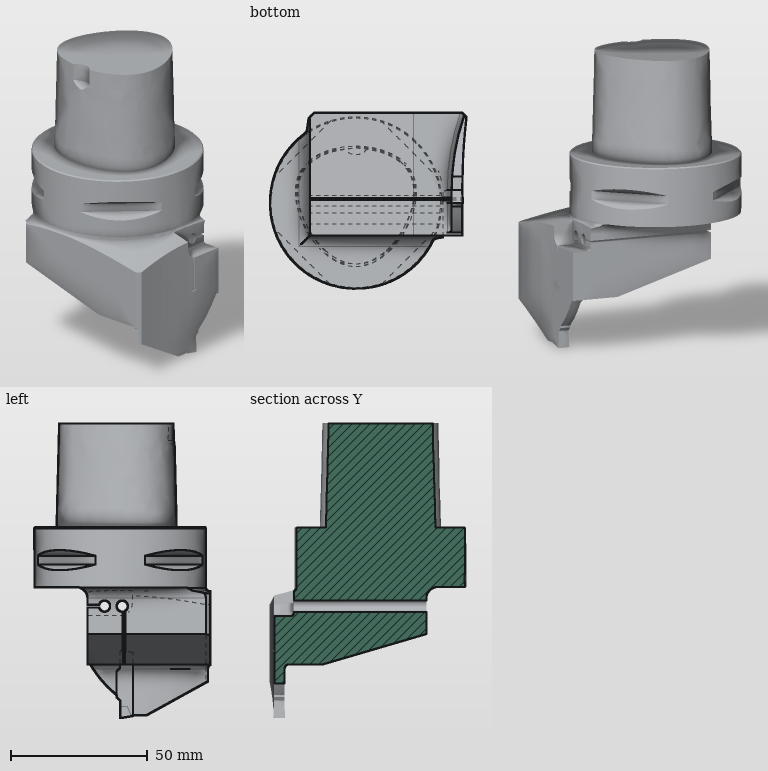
import cadquery as cq
import math


flange_diameter = 63.0
flange_height = 22.0
flange_chamfer = 0.4

shank_height = 38.0
shank_radius = 22.0
shank_lobe = 1.3
shank_taper = 1 / 20

key_radius = 5.0
key_depth = 6.4
key_axis_y = -22.6

groove_flat_distance = 27.8
groove_floor_width = 3.1
groove_wall_angle = 30
groove_z = -12.1
groove_count = 4

overall_depth = 64.5
block_left = -16.8
block_back = 12.0
block_bottom = -50.3
block_left_bottom = -39.2
block_slope_end = 21.1
corner_chamfer = 1.6
neck_fillet = 4.0

cone_start_radius = 32.4
cone_start_z = -23.3
cone_angle = 15
cone_blend_z = -22.4

blade_left = 35.1
blade_right = 39.0
blade_curve_start = -4.6
right_face_radius = 229.0
left_face_radius = 84.2
blade_back = 10.9
blade_root_fillet = 1.6
keel_z = -68.9
keel_front_y = -9.7
front_bottom_z = -56.0
jaw_tip_z = -61.6
jaw_mid = (6.0, -57.0)

pocket_left = 31.9
pocket_wall = -4.4
pocket_floor = -32.4
pocket_fillet = 4.4
pocket_side_fillet = 0.9

relief_diameter = 4.0
relief_z = -28.9
back_relief_y = 5.7
clamp_relief_y = -0.8
slit_width = 0.9
clamp_slit_y = -1.4

insert_bottom_y = blade_curve_start
insert_land_y = 1.3
insert_land_half = 4.8
insert_ramp_end = 6.0
insert_mid_z = -57.6
insert_half_length = 12.4
insert_relief = 0.8
edge_overhang = 0.27
edge_length = 4.2
edge_start_back_y = -2.6
edge_back_y = -4.2

cut_margin = 5.4
edge_tolerance = 0.1
root_height = 1.1


def curved_face_x(rear_x, radius, y):
    """X at depth y of an arc that starts at rear_x and swings toward +X further forward."""
    return rear_x + radius - math.sqrt(radius**2 - (y - blade_curve_start) ** 2)


flange_radius = flange_diameter / 2
flange_bottom = -flange_height
block_front = flange_radius - overall_depth
arc_end_y = block_front + corner_chamfer
arc_mid_y = (arc_end_y + blade_curve_start) / 2
block_right = curved_face_x(blade_right, right_face_radius, arc_end_y)
left_arc_mid = (curved_face_x(blade_left, left_face_radius, arc_mid_y), arc_mid_y)
right_arc_mid = (curved_face_x(blade_right, right_face_radius, arc_mid_y), arc_mid_y)
insert_tip_z = insert_mid_z - insert_half_length
insert_center_x = (blade_left + blade_right) / 2
insert_half_width = (blade_right - blade_left) / 2


def box(x_range, y_range, z_range):
    """Box between the given pairs of limits."""
    size = [high - low for low, high in (x_range, y_range, z_range)]
    return cq.Workplane("XY").box(*size, centered=False).translate(
        (x_range[0], y_range[0], z_range[0])
    )


def lobed_wire(radius, z):
    """Three-lobed closed curve with one lobe on +Y."""
    def point(t):
        angle = 2 * math.pi * t
        x = -radius * math.sin(angle) + shank_lobe * math.sin(2 * angle)
        y = radius * math.cos(angle) + shank_lobe * math.cos(2 * angle)
        return cq.Vector(x, y, z)

    samples = 36
    points = [point(i / samples) for i in range(samples)]
    return cq.Wire.assembleEdges([cq.Edge.makeSpline(points, periodic=True)])


def make_shank():
    top_radius = shank_radius - shank_height * shank_taper / 2
    wires = [lobed_wire(shank_radius, 0), lobed_wire(top_radius, shank_height)]
    return cq.Workplane(cq.Solid.makeLoft(wires, True))


def make_key_recess():
    """Drilled recess with a 90 degree point, on the front of the shank top."""
    floor_z = shank_height - key_depth
    profile = (
        cq.Workplane("XZ")
        .moveTo(0, shank_height + cut_margin)
        .lineTo(key_radius, shank_height + cut_margin)
        .lineTo(key_radius, floor_z)
        .lineTo(0, floor_z - key_radius)
        .close()
    )
    return profile.revolve(360, (0, 0, 0), (0, 1, 0)).translate((0, key_axis_y, 0))


def make_gripper_groove():
    """V-sided groove across the flange on the +X side."""
    depth = flange_radius + cut_margin - groove_flat_distance
    half_floor = groove_floor_width / 2
    half_mouth = half_floor + depth * math.tan(math.radians(groove_wall_angle))
    outer_x = groove_flat_distance + depth
    return (
        cq.Workplane("XZ")
        .polyline([
            (groove_flat_distance, groove_z - half_floor),
            (outer_x, groove_z - half_mouth),
            (outer_x, groove_z + half_mouth),
            (groove_flat_distance, groove_z + half_floor),
        ])
        .close()
        .extrude(flange_radius, both=True)
    )


def make_flange():
    flange = cq.Workplane("XY").circle(flange_radius).extrude(-flange_height)
    flange = flange.faces(">Z").chamfer(flange_chamfer)
    groove = make_gripper_groove()
    for index in range(groove_count):
        angle = (index + 0.5) * 360 / groove_count
        flange = flange.cut(groove.rotate((0, 0, 0), (0, 0, 1), angle))
    return flange


def block_plan_prism(bottom_z, top_z):
    """Block in plan, before its left front corner is cut, between two heights."""
    return (
        cq.Workplane("XY", origin=(0, 0, bottom_z))
        .moveTo(block_left, block_back)
        .lineTo(block_left, block_front)
        .lineTo(block_right - corner_chamfer, block_front)
        .lineTo(block_right, arc_end_y)
        .threePointArc(right_arc_mid, (blade_right, blade_curve_start))
        .lineTo(blade_right, block_back)
        .close()
        .extrude(top_z - bottom_z)
    )


def make_block_prism():
    """Block with its sloping underside, as high as the flange bottom."""
    under_slope = (
        cq.Workplane("XZ")
        .polyline([
            (block_left, block_left_bottom),
            (block_slope_end, block_bottom),
            (block_left, block_bottom),
        ])
        .close()
        .extrude(2 * flange_radius, both=True)
    )
    return block_plan_prism(block_bottom, flange_bottom).cut(under_slope)


def make_block_envelope():
    """Space under the flange and under the cone that caps the block outside it."""
    outer_radius = 2 * flange_radius
    outer_z = cone_start_z - (outer_radius - cone_start_radius) * math.tan(math.radians(cone_angle))
    blend_width = cone_start_radius - flange_radius
    blend_drop = cone_blend_z - cone_start_z
    arc_inset = 1 - math.sqrt(0.5)
    blend_mid = (flange_radius + arc_inset * blend_width, cone_start_z + arc_inset * blend_drop)
    return (
        cq.Workplane("XZ")
        .moveTo(0, flange_bottom)
        .lineTo(flange_radius, flange_bottom)
        .lineTo(flange_radius, cone_blend_z)
        .threePointArc(blend_mid, (cone_start_radius, cone_start_z))
        .lineTo(outer_radius, outer_z)
        .lineTo(outer_radius, block_bottom)
        .lineTo(0, block_bottom)
        .close()
        .revolve(360, (0, 0, 0), (0, 1, 0))
    )


def make_left_corner_cut():
    """Prism that chamfers the left front corner and the neck fillet over it."""
    reach = corner_chamfer + neck_fillet
    return (
        cq.Workplane("XY", origin=(0, 0, block_bottom))
        .polyline([
            (block_left - neck_fillet, block_front + reach),
            (block_left + corner_chamfer, block_front),
            (block_left - neck_fillet, block_front),
        ])
        .close()
        .extrude(flange_bottom - block_bottom)
    )


def make_block():
    """Block with concave fillets where its left and back walls meet the flange."""
    ceiling = box(
        (block_left - 2 * neck_fillet, blade_right),
        (block_front, block_back + 2 * neck_fillet),
        (flange_bottom, flange_bottom + root_height),
    )
    neck_edges = cq.selectors.BoxSelector(
        (block_left - edge_tolerance, block_front - edge_tolerance, flange_bottom - edge_tolerance),
        (blade_right - edge_tolerance, block_back + edge_tolerance, flange_bottom + edge_tolerance),
    )
    block = make_block_prism().union(ceiling).edges(neck_edges).fillet(neck_fillet)
    return block.cut(make_left_corner_cut()).intersect(make_block_envelope())


def make_jaw_pocket():
    """Clearance above the clamping jaw, open upward, backward and to the right."""
    pocket = box(
        (pocket_left, blade_right + cut_margin),
        (pocket_wall, block_back + 2 * cut_margin),
        (pocket_floor, flange_bottom + cut_margin),
    )
    pocket = pocket.edges("|X and <Y and <Z").fillet(pocket_fillet)
    side_edge = cq.selectors.NearestToPointSelector((pocket_left, block_back, pocket_floor))
    return pocket.edges("|Y").edges(side_edge).fillet(pocket_side_fillet)


def make_clamp_slits():
    """Relief holes and slits that leave the jaw hanging on a thin web."""
    x_range = (block_left - cut_margin, block_right + cut_margin)
    half_slit = slit_width / 2
    holes = (
        cq.Workplane("YZ", origin=(x_range[0], 0, 0))
        .pushPoints([(back_relief_y, relief_z), (clamp_relief_y, relief_z)])
        .circle(relief_diameter / 2)
        .extrude(x_range[1] - x_range[0])
    )
    back_slit = box(
        x_range,
        (back_relief_y, block_back + cut_margin),
        (relief_z - half_slit, relief_z + half_slit),
    )
    clamp_slit = box(
        x_range,
        (clamp_slit_y - half_slit, clamp_slit_y + half_slit),
        (insert_mid_z, relief_z),
    )
    return holes.union(back_slit).union(clamp_slit)


def make_blade_blank():
    """Curved left face of the blade with its root fillet, trimmed to the block in plan."""
    root_z = block_bottom + root_height
    front_y = block_front - cut_margin
    right_x = block_right + cut_margin
    left_front_x = curved_face_x(blade_left, left_face_radius, front_y)
    blank = (
        cq.Workplane("XY", origin=(0, 0, insert_tip_z))
        .moveTo(blade_left, block_back)
        .lineTo(blade_left, blade_curve_start)
        .threePointArc(left_arc_mid, (left_front_x, front_y))
        .lineTo(right_x, front_y)
        .lineTo(right_x, block_back)
        .close()
        .extrude(root_z - insert_tip_z)
    )
    root_left = blade_left - 2 * blade_root_fillet
    root = box((root_left, right_x), (front_y, block_back), (block_bottom, root_z))
    root_edges = cq.selectors.BoxSelector(
        (blade_left - edge_tolerance, front_y - edge_tolerance, block_bottom - edge_tolerance),
        (left_front_x + edge_tolerance, block_back + edge_tolerance, block_bottom + edge_tolerance),
        boundingbox=True,
    )
    blank = blank.union(root).edges(root_edges).fillet(blade_root_fillet)
    return blank.intersect(block_plan_prism(insert_tip_z, root_z))


def make_blade():
    """Blade cut to its side outline: jaw at the back, sloping keel at the front."""
    outline = (
        cq.Workplane("YZ", origin=(pocket_left, 0, 0))
        .moveTo(block_front, block_bottom)
        .lineTo(block_front, front_bottom_z)
        .lineTo(keel_front_y, keel_z)
        .lineTo(insert_bottom_y, keel_z)
        .lineTo(insert_bottom_y, jaw_tip_z)
        .lineTo(insert_land_y, jaw_tip_z)
        .threePointArc(jaw_mid, (blade_back, block_bottom))
        .close()
        .extrude(block_right - pocket_left)
    )
    return make_blade_blank().intersect(outline)


def make_cutting_edge():
    """Flared lower end of the insert: widest where its top meets the end face."""
    def section(start, end, end_half_width):
        (start_y, start_z), (end_y, end_z) = start, end
        corners = [
            (insert_half_width, start_y, start_z),
            (end_half_width, end_y, end_z),
            (-end_half_width, end_y, end_z),
            (-insert_half_width, start_y, start_z),
        ]
        points = [cq.Vector(insert_center_x + x, y, z) for x, y, z in corners]
        return cq.Wire.makePolygon(points, close=True)

    start_z = insert_tip_z + edge_length
    back_end_z = insert_tip_z + insert_relief * edge_back_y / insert_bottom_y
    edge_half_width = insert_half_width + edge_overhang
    wires = [
        section((0, start_z), (0, insert_tip_z), edge_half_width),
        section((edge_start_back_y, start_z), (edge_back_y, back_end_z), insert_half_width),
    ]
    return cq.Workplane(cq.Solid.makeLoft(wires, True))


def insert_prism(x_start, x_end):
    """Prism with the insert's double-ended outline, the same above and below its middle."""
    half_outline = [
        (insert_bottom_y, insert_half_length - insert_relief),
        (0, insert_half_length),
        (0, insert_ramp_end),
        (insert_land_y, insert_land_half),
    ]
    upper = [(y, insert_mid_z + z) for y, z in half_outline]
    lower = [(y, insert_mid_z - z) for y, z in reversed(half_outline)]
    outline = cq.Workplane("YZ", origin=(x_start, 0, 0)).polyline(upper + lower).close()
    return outline.extrude(x_end - x_start)


def make_root_clearance():
    """Clears the blade's root fillet beside the insert."""
    left = blade_left - 2 * blade_root_fillet
    below_block = box((left, blade_left), (block_front, block_back), (insert_tip_z, block_bottom))
    return insert_prism(left, blade_left).intersect(below_block)


def make_insert():
    """Insert with a cutting edge at each end."""
    edge = make_cutting_edge()
    other_edge = edge.mirror("XY", (0, 0, insert_mid_z))
    return insert_prism(blade_left, blade_right).union(edge).union(other_edge)


insert = make_insert()

holder = make_shank().cut(make_key_recess()).union(make_flange())
holder = holder.union(make_block().cut(make_jaw_pocket()))
holder = holder.union(make_blade().cut(make_root_clearance()))
holder = holder.cut(make_clamp_slits()).cut(insert)

result = cq.Compound.makeCompound([holder.val(), insert.val()])